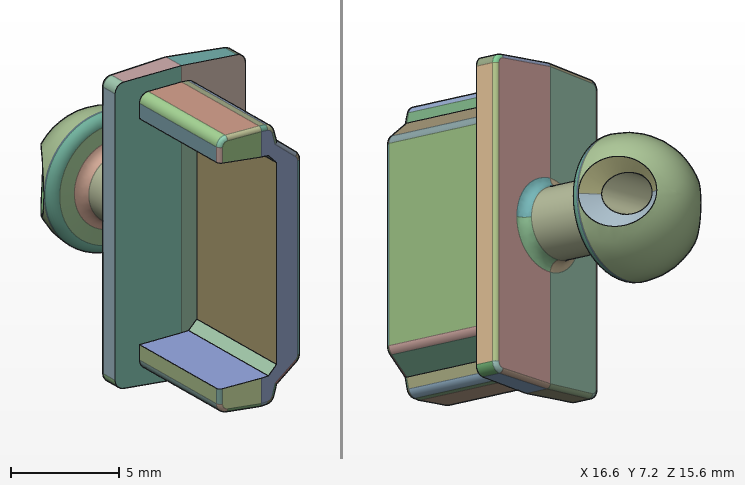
import cadquery as cq
import math

DRAFT = math.tan(math.radians(3))
REAR_DRAFT = math.tan(math.radians(1.5))
CORNER_ROUND = 0.5
RIM_ROUND = 0.22
TOLERANCE = 0.02

BALL_RADIUS = 7.0 / 2
SHANK_RADIUS = BALL_RADIUS / 2
LAND_WIDTH = 0.07
SHANK_FILLET = 0.5
HOLE_RADIUS = 2.0 / 2
HOLE_X = -BALL_RADIUS / 2
HOLE_CHAMFER = 0.73

PLATE_FRONT_X = 4.79
PLATE_REAR_X = 6.28
PLATE_MIDDLE_X = (PLATE_FRONT_X + PLATE_REAR_X) / 2
PLATE_WIDTH = 7.2
PLATE_HEIGHT = 15.6

OVERALL_LENGTH = 16.56
PLUG_END_X = OVERALL_LENGTH - BALL_RADIUS
PLUG_HALF_HEIGHT = 6.99
PLUG_HALF_WIDTH = 4.55 / 2
STEP_Y = 0.71
SLOPE_START_Y = 0.96
STEP_DEPTH = 0.91
SLOPE_ANGLE = 37

POCKET_FLOOR_Y = 0.86
POCKET_CHAMFER = 0.46
POCKET_MOUTH_HALF_HEIGHT = 5.63


def drafted_slab(front_x, rear_x, width, height, front_draft, rear_draft):
    """Slab whose two X faces lean inwards on both sides of y = 0."""
    half_width = width / 2
    front_edge_x = front_x + half_width * front_draft
    rear_edge_x = rear_x - half_width * rear_draft
    outline = [
        (front_edge_x, -half_width),
        (rear_edge_x, -half_width),
        (rear_x, 0),
        (rear_edge_x, half_width),
        (front_edge_x, half_width),
        (front_x, 0),
    ]
    return cq.Workplane("XY").polyline(outline).close().extrude(height / 2, both=True)


def symmetric_prism(upper_points, start_x, end_x):
    """Prism along X with the given (y, z) outline and its mirror image below z = 0."""
    lower_points = [(y, -z) for y, z in reversed(upper_points)]
    sketch = cq.Workplane("YZ", origin=(start_x, 0, 0)).polyline(upper_points + lower_points)
    return sketch.close().extrude(end_x - start_x)


def make_plate():
    """Plate with rounded corners and a rounded front rim."""
    half_width = PLATE_WIDTH / 2
    ridge_z = PLATE_HEIGHT / 2
    side_z = ridge_z - half_width * DRAFT
    outline = [(-half_width, side_z), (0, ridge_z), (half_width, side_z)]
    prism = symmetric_prism(outline, PLATE_FRONT_X, PLATE_REAR_X)
    corners = prism.edges("|X").filter(lambda edge: abs(edge.Center().y) > half_width / 2)
    prism = corners.fillet(CORNER_ROUND)
    slab = drafted_slab(PLATE_FRONT_X, PLATE_REAR_X, PLATE_WIDTH, PLATE_HEIGHT, DRAFT, REAR_DRAFT)
    plate = prism.intersect(slab)
    front_limit_x = PLATE_FRONT_X + half_width * DRAFT + RIM_ROUND
    front_edges = plate.edges().filter(lambda edge: edge.BoundingBox().xmax < front_limit_x)
    front_rim = front_edges.filter(lambda edge: abs(edge.Center().y) > RIM_ROUND)
    return front_rim.fillet(RIM_ROUND)


def make_plug_body():
    """Plug before the pocket is cut, starting inside the plate so that the two join."""
    side_z = PLUG_HALF_HEIGHT - PLUG_HALF_WIDTH * DRAFT
    step_z = PLUG_HALF_HEIGHT - STEP_Y * DRAFT
    slope_start_z = PLUG_HALF_HEIGHT - STEP_DEPTH
    slope_drop = (PLUG_HALF_WIDTH - SLOPE_START_Y) * math.tan(math.radians(SLOPE_ANGLE))
    outline = [
        (-PLUG_HALF_WIDTH, side_z),
        (0, PLUG_HALF_HEIGHT),
        (STEP_Y, step_z),
        (SLOPE_START_Y, slope_start_z),
        (PLUG_HALF_WIDTH, slope_start_z - slope_drop),
    ]
    prism = symmetric_prism(outline, PLATE_MIDDLE_X, PLUG_END_X)
    rounded_rows = (-PLUG_HALF_WIDTH, STEP_Y, PLUG_HALF_WIDTH)
    corners = prism.edges("|X").filter(
        lambda edge: any(math.isclose(edge.Center().y, row, abs_tol=TOLERANCE) for row in rounded_rows)
    )
    prism = corners.fillet(CORNER_ROUND)
    slab = drafted_slab(PLATE_MIDDLE_X, PLUG_END_X, 2 * PLUG_HALF_WIDTH, 2 * PLUG_HALF_HEIGHT, 0, DRAFT)
    plug = prism.intersect(slab)
    end_limit_x = PLUG_END_X - PLUG_HALF_WIDTH * DRAFT - RIM_ROUND
    end_edges = plug.edges().filter(lambda edge: edge.BoundingBox().xmin > end_limit_x)
    end_rim = end_edges.filter(lambda edge: abs(edge.Center().y) > RIM_ROUND)
    return end_rim.fillet(RIM_ROUND)


def make_pocket():
    """Pocket volume, tapering towards its floor and chamfered along it."""
    chamfer_start_y = POCKET_FLOOR_Y - POCKET_CHAMFER
    mouth_depth = PLUG_HALF_WIDTH + chamfer_start_y
    chamfer_start_z = POCKET_MOUTH_HALF_HEIGHT - mouth_depth * DRAFT
    outline = [
        (-PLUG_HALF_WIDTH, POCKET_MOUTH_HALF_HEIGHT),
        (chamfer_start_y, chamfer_start_z),
        (POCKET_FLOOR_Y, chamfer_start_z - POCKET_CHAMFER),
    ]
    return symmetric_prism(outline, PLATE_FRONT_X, PLUG_END_X)


def make_ball():
    """Half ball with a rounded back rim and a chamfered cross hole along Y."""
    rim_x = LAND_WIDTH + CORNER_ROUND
    rim_radius = BALL_RADIUS - CORNER_ROUND
    back_x = rim_x + (rim_radius - SHANK_RADIUS) * DRAFT
    profile = (
        cq.Workplane("XY")
        .moveTo(-BALL_RADIUS, 0)
        .radiusArc((0, BALL_RADIUS), BALL_RADIUS)
        .lineTo(LAND_WIDTH, BALL_RADIUS)
        .radiusArc((rim_x, rim_radius), CORNER_ROUND)
        .lineTo(back_x, SHANK_RADIUS)
        .lineTo(back_x, 0)
        .close()
    )
    ball = profile.revolve(360, (0, 0, 0), (1, 0, 0))
    hole = cq.Workplane("XZ", origin=(HOLE_X, 0, 0)).circle(HOLE_RADIUS).extrude(BALL_RADIUS, both=True)
    ball = ball.cut(hole)
    mouths = ball.edges("%BSPLINE")
    return mouths.filter(lambda edge: edge.BoundingBox().zmax < SHANK_RADIUS).chamfer(HOLE_CHAMFER)


def is_shank_end(edge):
    """True for the round edges where the shank meets the ball and the plate."""
    box = edge.BoundingBox()
    widest = max(abs(box.ymin), abs(box.ymax), abs(box.zmin), abs(box.zmax))
    return edge.geomType() in ("CIRCLE", "ELLIPSE") and widest < SHANK_RADIUS + TOLERANCE and box.xmin > 0


plug = make_plug_body().cut(make_pocket())
shank = cq.Workplane("YZ").circle(SHANK_RADIUS).extrude(PLATE_MIDDLE_X)
body = make_ball().union(shank).union(make_plate())
body = body.edges().filter(is_shank_end).fillet(SHANK_FILLET)
result = body.union(plug)